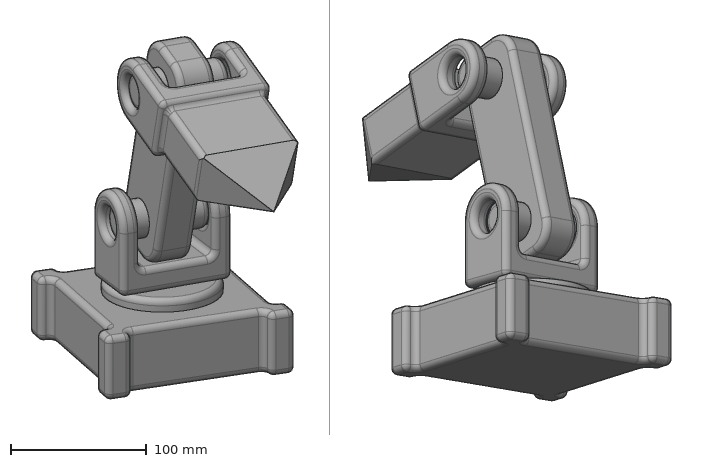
import cadquery as cq
import math

ROUND = 5.0
PIN_LENGTH = 20.0
REACH = 119.8

YAW = 3.1
LEAN = 16.4
ARM_SHIFT = -2.5
TOOL_SHIFT = 2.3

BASE_SIDE = 150.0
BASE_HEIGHT = 50.0
FOOT_WIDTH = 20.0
TURNTABLE_DIAMETER = 90.0
TURNTABLE_HEIGHT = 10.0

CLEVIS_LENGTH = 90.0
CLEVIS_WIDTH = 50.0
CLEVIS_DROP = 50.0
PLATE_THICKNESS = 15.0
WEB_THICKNESS = 20.0
HOLE_DIAMETER = 25.0

ARM_WIDTH = 60.0
ARM_THICKNESS = 30.0
ARM_CORNER_RADIUS = 20.0
LOWER_PIN_DIAMETER = 29.7
UPPER_PIN_DIAMETER = 30.5

BAR_LENGTH = 60.0
POINT_LENGTH = 49.8
POINT_SHIFT = -3.1
FLARE_RADIUS = 5.0
JUNCTION_MARGIN = 0.3

SHOULDER_HEIGHT = BASE_HEIGHT + TURNTABLE_HEIGHT + CLEVIS_DROP
ELBOW_X = REACH * math.sin(math.radians(LEAN))
ELBOW_Z = SHOULDER_HEIGHT + REACH * math.cos(math.radians(LEAN))
BAR_END = CLEVIS_DROP + BAR_LENGTH
BAR_WIDTH = CLEVIS_WIDTH - 2 * ROUND
BAR_BREADTH = CLEVIS_LENGTH - 2 * ROUND


def rotated(point, degrees):
    """Turn a plane point about the origin."""
    c = math.cos(math.radians(degrees))
    s = math.sin(math.radians(degrees))
    return (c * point[0] - s * point[1], s * point[0] + c * point[1])


def make_base():
    """Square block with recessed sides between its corner feet, and the turntable on top."""
    half = BASE_SIDE / 2
    inner = half - 2 * ROUND
    foot = half - FOOT_WIDTH
    bulge = ROUND * math.sqrt(0.5)
    side = [
        ("arc", (-foot - ROUND + bulge, -half + ROUND - bulge), (-foot, -half + ROUND)),
        ("arc", (-foot + ROUND - bulge, -inner - ROUND + bulge), (-foot + ROUND, -inner)),
        ("line", (foot - ROUND, -inner)),
        ("arc", (foot - ROUND + bulge, -inner - ROUND + bulge), (foot, -half + ROUND)),
        ("arc", (foot + ROUND - bulge, -half + ROUND - bulge), (foot + ROUND, -half)),
        ("line", (half - ROUND, -half)),
        ("arc", (half - ROUND + bulge, -half + ROUND - bulge), (half, -half + ROUND)),
        ("line", (half, -foot - ROUND)),
    ]
    outline = cq.Workplane("XY").moveTo(-foot - ROUND, -half)
    for quarter in range(4):
        for kind, *points in side:
            turned = [rotated(point, 90 * quarter) for point in points]
            if kind == "line":
                outline = outline.lineTo(*turned[0])
            else:
                outline = outline.threePointArc(*turned)
    block = outline.close().extrude(BASE_HEIGHT)
    block = block.faces("<Z or >Z").edges().fillet(ROUND)
    turntable = (
        cq.Workplane("XY")
        .workplane(offset=BASE_HEIGHT)
        .circle(TURNTABLE_DIAMETER / 2)
        .extrude(TURNTABLE_HEIGHT)
        .faces(">Z")
        .edges()
        .fillet(ROUND)
    )
    return block.union(turntable)


def make_clevis():
    """Fork with its pin axis along Y through the origin and its web below."""
    half_width = CLEVIS_WIDTH / 2
    fork = (
        cq.Workplane("XZ")
        .moveTo(-half_width, 0)
        .threePointArc((0, half_width), (half_width, 0))
        .lineTo(half_width, -CLEVIS_DROP)
        .lineTo(-half_width, -CLEVIS_DROP)
        .close()
        .extrude(CLEVIS_LENGTH / 2, both=True)
    )
    slot_floor = WEB_THICKNESS - CLEVIS_DROP
    slot_height = half_width - slot_floor
    slot = (
        cq.Workplane("XY")
        .box(CLEVIS_WIDTH, CLEVIS_LENGTH - 2 * PLATE_THICKNESS, slot_height)
        .translate((0, 0, slot_floor + slot_height / 2))
        .faces("<Z")
        .edges("|X")
        .fillet(ROUND)
    )
    hole = cq.Workplane("XZ").circle(HOLE_DIAMETER / 2).extrude(CLEVIS_LENGTH, both=True)
    return fork.cut(slot).cut(hole).edges().fillet(ROUND)


def make_pin(diameter, height):
    """Pin through the arm at the given height, rounded at both ends."""
    half_span = ARM_THICKNESS / 2 + PIN_LENGTH
    pin = cq.Workplane("XZ").circle(diameter / 2).extrude(half_span, both=True)
    return pin.edges().fillet(ROUND).translate((0, 0, height))


def make_arm():
    """Rounded bar with its lower pin on the origin and its upper pin above it."""
    bar = (
        cq.Workplane("XY")
        .box(ARM_WIDTH, ARM_THICKNESS, REACH + ARM_WIDTH)
        .translate((0, 0, REACH / 2))
        .edges("|Y")
        .fillet(ARM_CORNER_RADIUS)
        .faces("<Y or >Y")
        .edges()
        .fillet(ROUND)
    )
    lower_pin = make_pin(LOWER_PIN_DIAMETER, 0)
    upper_pin = make_pin(UPPER_PIN_DIAMETER, REACH)
    return bar.union(lower_pin).union(upper_pin)


def zone(depth, margin):
    """Selector for the edges within a margin of the given depth below the pin axis."""
    return cq.selectors.BoxSelector(
        (-CLEVIS_WIDTH, -CLEVIS_LENGTH, -depth - margin),
        (CLEVIS_WIDTH, CLEVIS_LENGTH, -depth + margin),
    )


def taper(plane, width, apex_shift):
    """Plate that follows the bar and narrows to its point, outlined in the given upright plane."""
    half = width / 2
    return (
        cq.Workplane(plane)
        .moveTo(-half, 0)
        .lineTo(-half, -BAR_END)
        .lineTo(apex_shift, -BAR_END - POINT_LENGTH)
        .lineTo(half, -BAR_END)
        .lineTo(half, 0)
        .close()
        .extrude(CLEVIS_LENGTH, both=True)
    )


def make_tool():
    """Clevis carrying a rounded bar that ends in a four-sided point, all hanging below the pin axis."""
    length = BAR_LENGTH + POINT_LENGTH + ROUND
    bar = (
        cq.Workplane("XY")
        .box(BAR_WIDTH, BAR_BREADTH, length)
        .translate((0, 0, ROUND - CLEVIS_DROP - length / 2))
        .edges("|Z")
        .fillet(ROUND)
    )
    narrow_taper = taper("XZ", BAR_WIDTH, POINT_SHIFT)
    broad_taper = taper("YZ", BAR_BREADTH, 0).edges(zone(BAR_END, ROUND)).fillet(ROUND)
    bar = bar.intersect(narrow_taper).intersect(broad_taper)
    tool = make_clevis().union(bar)
    return tool.edges(zone(CLEVIS_DROP, JUNCTION_MARGIN)).fillet(FLARE_RADIUS)


def posed(body, tilt, shift, x, z):
    """Tilt a body about its pin axis, carry the pin axis to its place and turn the linkage."""
    body = body.rotate((0, 0, 0), (0, 1, 0), tilt).translate((x, shift, z))
    return body.rotate((0, 0, 0), (0, 0, 1), YAW)


base = make_base()
arm = posed(make_arm(), LEAN, ARM_SHIFT, 0, SHOULDER_HEIGHT)
shoulder = posed(make_clevis(), 0, 0, 0, SHOULDER_HEIGHT).cut(arm)
tool = posed(make_tool(), LEAN - 90, TOOL_SHIFT, ELBOW_X, ELBOW_Z).cut(arm)

result = cq.Compound.makeCompound([base.val(), shoulder.val(), arm.val(), tool.val()])